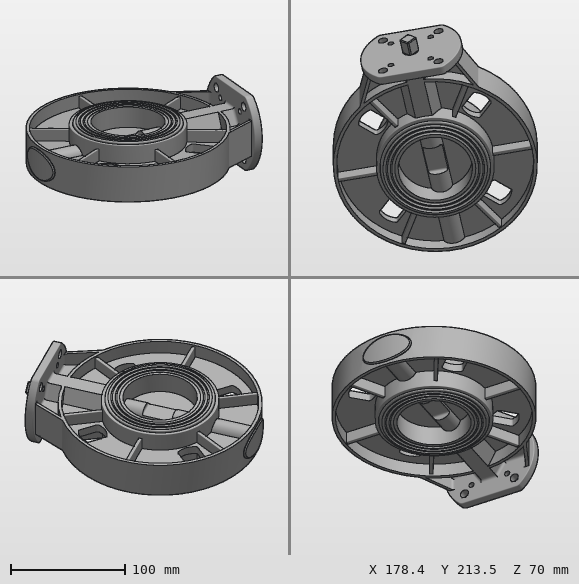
import cadquery as cq
import math


ring_radius = 89.2
ring_wall = 3.0
ring_half_height = 16.7
web_half_thickness = 3.8
hub_diameter = 103.0
hub_half_height = 20.7
hub_edge_fillet = 0.5
hub_bore = 97.0
rib_angles = [0, 60, 120, 180, 240, 300]
rib_thickness = 3.2
rib_half_height = 14.7
rib_edge_fillet = 0.5

slot_reach = 65.1
slot_length = 24.0
slot_width = 19.0
slot_end_diameter = 35.0
slot_corner_fillet = 2.1
slot_angles = [45, 135, 225, 315]

neck_top_width = 14.7
neck_base_width = 30.7
gusset_wall = 2.8
gusset_half_width_top = 39.3
gusset_slope = 0.455
gusset_foot = 64.0
gusset_root_fillet = 2.1
gusset_root_angle = 53.3
boss_diameter = 20.0

plate_diameter = 89.9
plate_height = 70.0
plate_underside = 101.8
plate_thickness = 8.0
plate_corner_fillet = 6.0
plate_edge_fillet = 0.9
plate_root_fillet = 2.5
outer_bolt_offset = 24.8
outer_bolt_diameter = 8.0
inner_bolt_offset = 17.7
inner_bolt_diameter = 5.0

liner_diameter = 96.3
liner_bore = 65.0
liner_half_height = 22.5
liner_edge_fillet = 1.0
groove_radii = [44.5, 40.5, 36.7]
groove_diameter = 2.5

disc_half_thickness = 3.2
disc_hub_diameter = 20.0
pocket_length = 27.1
pocket_width = 19.2
pocket_floor = 4.7
pocket_fillet = 2.0

stem_diameter = 13.9
stem_square = 11.0
stem_top = 122.8
stem_bottom = 17.0
stem_corner_chamfer = 1.0
stem_tip_chamfer = 0.9

plug_length = 48.0
plug_height = 27.8
plug_radius = 90.7
plug_depth = 3.0
plug_edge_chamfer = 1.0


def disk(radius, half_height):
    """Cylinder on the flow axis, centred on the ring's mid plane."""
    return cq.Workplane("XY").circle(radius).extrude(half_height, both=True)


def bar_along_y(diameter, y_start, y_end):
    """Round bar on the stem axis."""
    return cq.Workplane("XZ", origin=(0, y_start, 0)).circle(diameter / 2).extrude(y_start - y_end)


def gusset_outline(inset):
    """Trapezoid that widens from the plate down into the ring, its sides moved inward by `inset`."""
    side_inset = inset * math.hypot(1, gusset_slope)
    top = gusset_half_width_top - side_inset
    foot = top + gusset_slope * (plate_underside - gusset_foot)
    return cq.Workplane("XY").polyline(
        [(-top, plate_underside), (top, plate_underside), (foot, gusset_foot), (-foot, gusset_foot)]
    ).close()


def ring_and_gussets():
    outer = disk(ring_radius, ring_half_height)
    outer = outer.union(gusset_outline(0).extrude(ring_half_height, both=True))
    root_x = ring_radius * math.cos(math.radians(gusset_root_angle))
    root_y = ring_radius * math.sin(math.radians(gusset_root_angle))
    for side in (-1, 1):
        root = cq.selectors.NearestToPointSelector((side * root_x, root_y, 0))
        outer = outer.edges("|Z").edges(root).fillet(gusset_root_fillet)

    ring_cavity = disk(ring_radius - ring_wall, ring_half_height)
    gusset_cavity = gusset_outline(gusset_wall).extrude(ring_half_height, both=True)
    gusset_cavity = gusset_cavity.cut(disk(ring_radius, ring_half_height))
    web = outer.intersect(disk(2 * ring_radius, web_half_thickness))
    return outer.cut(ring_cavity).cut(gusset_cavity).union(web)


def ribs():
    """Radial ribs from the hub to the ring, on both sides of the web."""
    start = hub_bore / 2
    length = ring_radius - ring_wall / 2 - start
    rib = cq.Workplane("XY").box(length, rib_thickness, 2 * rib_half_height)
    rib = rib.edges("|X").fillet(rib_edge_fillet).translate((start + length / 2, 0, 0))
    joined = cq.Workplane("XY")
    for angle in rib_angles:
        joined = joined.union(rib.rotate((0, 0, 0), (0, 0, 1), angle))
    return joined


def neck():
    """Stem passage with sloping sides, from inside the hub wall up to the plate."""
    top = neck_top_width / 2
    base = neck_base_width / 2
    start = hub_bore / 2
    section = [
        (-top, ring_half_height), (top, ring_half_height),
        (base, web_half_thickness), (base, -web_half_thickness),
        (top, -ring_half_height), (-top, -ring_half_height),
        (-base, -web_half_thickness), (-base, web_half_thickness),
    ]
    profile = cq.Workplane("XZ", origin=(0, start, 0)).polyline(section).close()
    return profile.extrude(start - plate_underside)


def actuator_plate():
    """Round plate with two flats."""
    plane = cq.Workplane("XZ", origin=(0, plate_underside, 0))
    plate = plane.circle(plate_diameter / 2).extrude(-plate_thickness)
    plate = plate.intersect(cq.Workplane("XY").box(plate_diameter, 4 * plate_underside, plate_height))
    plate = plate.edges("|Y").fillet(plate_corner_fillet)
    return plate.faces("<Y or >Y").edges().fillet(plate_edge_fillet)


def fillet_plate_root(housing):
    """Fillet where the neck, the web and the inner sides of the gussets meet the plate."""
    reach = gusset_half_width_top - gusset_wall
    margin = 0.02
    root_edges = cq.selectors.BoxSelector(
        (-reach, plate_underside - margin, -ring_half_height - margin),
        (reach, plate_underside + margin, ring_half_height + margin),
    )
    return housing.edges(root_edges).fillet(plate_root_fillet)


def plate_bolt_holes():
    """Two square patterns of holes through the plate."""
    holes = cq.Workplane("XY")
    for offset, diameter in (
        (outer_bolt_offset, outer_bolt_diameter),
        (inner_bolt_offset, inner_bolt_diameter),
    ):
        plane = cq.Workplane("XZ", origin=(0, plate_underside, 0))
        pattern = plane.rect(2 * offset, 2 * offset, forConstruction=True).vertices()
        holes = holes.union(pattern.circle(diameter / 2).extrude(-plate_thickness))
    return holes


def bolt_slots():
    """Four slots on the diagonals, with flat sides and arched ends."""
    half_width = slot_width / 2
    half_length = slot_length / 2
    end_radius = slot_end_diameter / 2
    arch = end_radius - math.sqrt(end_radius**2 - half_width**2)
    shoulder = half_length - arch
    slot = (
        cq.Workplane("XY")
        .moveTo(-shoulder, -half_width)
        .lineTo(shoulder, -half_width)
        .threePointArc((half_length, 0), (shoulder, half_width))
        .lineTo(-shoulder, half_width)
        .threePointArc((-half_length, 0), (-shoulder, -half_width))
        .close()
        .extrude(web_half_thickness, both=True)
        .edges("|Z")
        .fillet(slot_corner_fillet)
        .translate((slot_reach, 0, 0))
    )
    slots = cq.Workplane("XY")
    for angle in slot_angles:
        slots = slots.union(slot.rotate((0, 0, 0), (0, 0, 1), angle))
    return slots


def make_plug():
    """Elliptical plug set into the foot of the ring, standing slightly proud of it."""
    plane = cq.Workplane("XZ", origin=(0, -ring_radius / 2, 0))
    plug = plane.ellipse(plug_length / 2, plug_height / 2).extrude(ring_radius)
    plug = plug.intersect(disk(plug_radius, ring_half_height))
    plug = plug.cut(disk(plug_radius - plug_depth, ring_half_height))
    return plug.faces("<Y").edges().chamfer(plug_edge_chamfer)


def stem_bore():
    return bar_along_y(stem_diameter, stem_bottom, stem_top)


def make_housing():
    hub = disk(hub_diameter / 2, hub_half_height).edges().fillet(hub_edge_fillet)
    housing = fillet_plate_root(ring_and_gussets().union(neck()).union(actuator_plate()))
    housing = housing.union(hub).union(ribs())
    housing = housing.union(bar_along_y(boss_diameter, -hub_bore / 2, ring_wall - ring_radius))
    housing = housing.cut(disk(hub_bore / 2, hub_half_height))
    housing = housing.cut(bolt_slots()).cut(plate_bolt_holes()).cut(stem_bore())
    return housing.cut(make_plug())


def make_liner():
    liner = disk(liner_diameter / 2, liner_half_height).edges().fillet(liner_edge_fillet)
    liner = liner.cut(disk(liner_bore / 2, liner_half_height))
    for radius in groove_radii:
        for face in (-liner_half_height, liner_half_height):
            groove = cq.Solid.makeTorus(radius, groove_diameter / 2, cq.Vector(0, 0, face))
            liner = liner.cut(cq.Workplane(groove))
    return liner.cut(stem_bore())


def make_disc():
    slab = disk(liner_bore, disc_half_thickness)
    hub = bar_along_y(disc_hub_diameter, -liner_bore, liner_bore)
    disc = slab.union(hub).intersect(disk(liner_bore / 2, liner_half_height))
    pocket = (
        cq.Workplane("XY", origin=(0, 0, pocket_floor))
        .rect(pocket_width, pocket_length)
        .extrude(disc_hub_diameter)
        .faces("<Z")
        .edges()
        .fillet(pocket_fillet)
    )
    return disc.cut(pocket).cut(pocket.mirror("XY")).cut(stem_bore())


def make_stem():
    """Round shank with a square drive, set corner-up, above the plate."""
    plate_top = plate_underside + plate_thickness
    drive_length = stem_top - plate_top
    drive = cq.Workplane("XY").box(stem_square, drive_length, stem_square)
    drive = drive.edges("|Y").chamfer(stem_corner_chamfer)
    drive = drive.faces(">Y").chamfer(stem_tip_chamfer)
    drive = drive.rotate((0, 0, 0), (0, 1, 0), 45).translate((0, plate_top + drive_length / 2, 0))
    return bar_along_y(stem_diameter, stem_bottom, plate_top).union(drive)


housing = make_housing()
liner = make_liner()
disc = make_disc()
stem = make_stem()
plug = make_plug()

bodies = [housing, liner, disc, stem, plug]
result = cq.Compound.makeCompound([body.solids().val() for body in bodies])